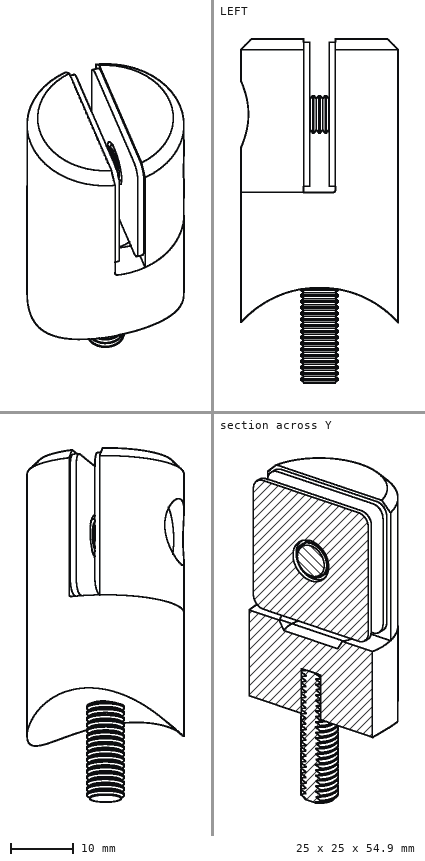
import cadquery as cq
import math

total_height = 54.9
body_diameter = 25.0
body_radius = body_diameter / 2
top_chamfer = 1.7

slot_floor = 30.4
slot_width = 5.05
slot_half = slot_width / 2
slot_fillet = 0.45

saddle_radius = 16.85
saddle_top = 15.25

pocket_bottom_diameter = 11.6
pocket_mouth_diameter = 14.6
pocket_shift = (pocket_mouth_diameter - pocket_bottom_diameter) / 2
pocket_depth = 1.55

pad_side = 23.0
pad_thickness = 1.0
pad_corner_radius = 2.05
pad_center_height = 42.85
pad_hole_diameter = 7.0

thread_diameter = 6.0
root_diameter = 5.0
crest_width = 0.2

stud_thread_length = 22.9
stud_crests = 24
stud_pitch = stud_thread_length / stud_crests
stud_tip = 0.15
stud_length = stud_tip + stud_thread_length

screw_height = pad_center_height
screw_pitch = 1.0
crests_before_middle = 8
screw_tip_y = -(crests_before_middle + 0.5) * screw_pitch
screw_head_diameter = 10.0
screw_head_height = 3.3

jaw_hole_diameter = 6.5
head_bore_diameter = 10.6
head_bore_floor_y = 6.6


def clamp_cylinder(diameter, y_start, y_end):
    """Cylinder along Y on the clamp screw axis."""
    plane = cq.Plane(origin=(0, y_start, screw_height), xDir=(1, 0, 0), normal=(0, 1, 0))
    return cq.Workplane(plane).circle(diameter / 2).extrude(y_end - y_start)


def threaded_rod(crests, pitch, tip_length):
    """Rod along +Z from the origin: a plain tip at root diameter, then V-shaped thread rings."""
    crest_radius = thread_diameter / 2
    root_radius = root_diameter / 2
    outline = [(0, 0), (root_radius, 0)]
    for index in range(crests):
        ring_start = tip_length + index * pitch
        crest_middle = ring_start + pitch / 2
        if ring_start > 0:
            outline.append((root_radius, ring_start))
        outline.append((crest_radius, crest_middle - crest_width / 2))
        outline.append((crest_radius, crest_middle + crest_width / 2))
    rod_length = tip_length + crests * pitch
    outline += [(root_radius, rod_length), (0, rod_length)]
    return cq.Workplane("XZ").polyline(outline).close().revolve(360, (0, 0, 0), (0, 1, 0))


def chamfered_cylinder():
    """Outer shape of the housing and jaw together, before slot and saddle."""
    cylinder = cq.Workplane("XY").circle(body_radius).extrude(total_height)
    return cylinder.faces(">Z").chamfer(top_chamfer)


def space_above_floor(y_start):
    """Box over the slot floor that reaches from y_start past the +Y side of the body."""
    return cq.Workplane("XY", origin=(0, y_start, slot_floor)).box(
        2 * body_diameter, body_diameter, total_height, centered=(True, False, False)
    )


def saddle_cutter():
    return (
        cq.Workplane("YZ", origin=(-body_radius, 0, saddle_top - saddle_radius))
        .circle(saddle_radius)
        .extrude(body_diameter)
    )


def floor_pocket_cutter():
    return (
        cq.Workplane("XY", origin=(0, 0, slot_floor - pocket_depth))
        .circle(pocket_bottom_diameter / 2)
        .workplane(offset=pocket_depth)
        .center(0, pocket_shift)
        .circle(pocket_mouth_diameter / 2)
        .loft(ruled=True)
    )


def make_housing():
    """Lower body with the fixed jaw, the saddle and the threaded holes."""
    slot_and_jaw_space = space_above_floor(-slot_half).edges("<Y and <Z").fillet(slot_fillet)
    stud_hole = cq.Workplane("XY").circle(thread_diameter / 2).extrude(stud_length)
    screw_hole = clamp_cylinder(thread_diameter, screw_tip_y, -slot_half)
    return (
        chamfered_cylinder()
        .cut(slot_and_jaw_space)
        .cut(saddle_cutter())
        .cut(floor_pocket_cutter())
        .cut(stud_hole)
        .cut(screw_hole)
    )


def make_removable_jaw():
    """D-shaped jaw standing on the slot floor, counterbored for the screw head."""
    through_hole = clamp_cylinder(jaw_hole_diameter, slot_half, head_bore_floor_y)
    head_bore = clamp_cylinder(head_bore_diameter, head_bore_floor_y, body_radius)
    jaw = chamfered_cylinder().intersect(space_above_floor(slot_half))
    return jaw.cut(through_hole).cut(head_bore)


def make_pad(y_start):
    """Square gasket with round corners and a hole for the clamp screw."""
    pad = (
        cq.Workplane("XY", origin=(0, y_start, pad_center_height))
        .box(pad_side, pad_thickness, pad_side, centered=(True, False, True))
        .edges("|Y")
        .fillet(pad_corner_radius)
    )
    return pad.cut(clamp_cylinder(pad_hole_diameter, y_start, y_start + pad_thickness))


def make_clamp_screw():
    """Threaded rod from the fixed jaw, a short plain neck, and the head in the counterbore."""
    crests = math.floor((head_bore_floor_y - screw_tip_y) / screw_pitch)
    thread_end_y = screw_tip_y + crests * screw_pitch
    rod = (
        threaded_rod(crests, screw_pitch, 0)
        .rotate((0, 0, 0), (1, 0, 0), -90)
        .translate((0, screw_tip_y, screw_height))
    )
    neck = clamp_cylinder(thread_diameter, thread_end_y, head_bore_floor_y)
    head_end_y = head_bore_floor_y + screw_head_height
    head = clamp_cylinder(screw_head_diameter, head_bore_floor_y, head_end_y)
    return rod.union(neck).union(head)


housing = make_housing()
removable_jaw = make_removable_jaw()
pads = [make_pad(y_start) for y_start in (-slot_half, slot_half - pad_thickness)]
stud = threaded_rod(stud_crests, stud_pitch, stud_tip)
clamp_screw = make_clamp_screw()

result = cq.Compound.makeCompound([
    housing.val(),
    removable_jaw.val(),
    *[pad.val() for pad in pads],
    stud.val(),
    clamp_screw.val(),
])